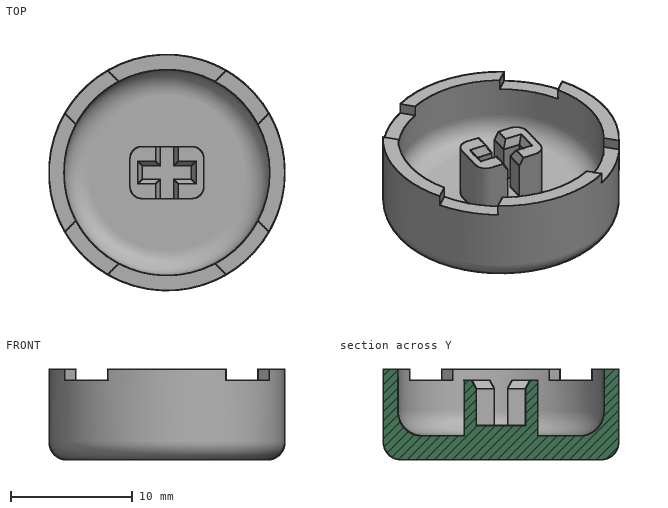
import cadquery as cq

outer_diameter = 19.5
inner_diameter = 17.0
height = 7.5
floor_z = 2.0
bottom_edge_radius = 1.5
inside_floor_radius = 2.0

notch_width = 5.0
notch_depth = 0.9
first_notch_angle = 45
notch_count = 4
notch_spacing = 360 / notch_count

post_length = 6.1
post_width = 4.3
post_corner_radius = 1.0
post_top_z = height - notch_depth
socket_slot_width = 1.11
socket_length = 4.05
socket_floor_z = 2.85
lead_in_inset = 0.38
lead_in_depth = 0.7


def make_cup():
    """Hollow round body, rounded under the base and around the inside of the floor."""
    body = cq.Workplane("XY").circle(outer_diameter / 2).extrude(height)
    body = body.faces("<Z").edges().fillet(bottom_edge_radius)
    cavity = cq.Workplane("XY").workplane(offset=floor_z)
    cavity = cavity.circle(inner_diameter / 2).extrude(height - floor_z)
    cavity = cavity.faces("<Z").edges().fillet(inside_floor_radius)
    return body.cut(cavity)


def cut_rim_notches(cup):
    """Cut parallel-sided notches through the wall from the rim downward."""
    notch_reach = outer_diameter / 2 + notch_width
    notch = cq.Workplane("XY").workplane(offset=height - notch_depth)
    notch = notch.center(notch_reach / 2, 0).rect(notch_reach, notch_width).extrude(notch_depth)
    for index in range(notch_count):
        angle = first_notch_angle + index * notch_spacing
        cup = cup.cut(notch.rotate((0, 0, 0), (0, 0, 1), angle))
    return cup


def make_post():
    """Upright post with rounded corners, rising from the cup floor."""
    post = cq.Workplane("XY").workplane(offset=floor_z)
    post = post.rect(post_length, post_width).extrude(post_top_z - floor_z)
    return post.edges("|Z").fillet(post_corner_radius)


def make_socket_slot(length_x, length_y):
    """One straight bar of the cross, flared at the top by the lead-in."""
    lead_in_z = post_top_z - lead_in_depth
    bar = cq.Workplane("XY").workplane(offset=socket_floor_z)
    bar = bar.rect(length_x, length_y).extrude(lead_in_z - socket_floor_z)
    flare = cq.Workplane("XY").workplane(offset=lead_in_z).rect(length_x, length_y)
    flare = flare.workplane(offset=lead_in_depth)
    flare = flare.rect(length_x + 2 * lead_in_inset, length_y + 2 * lead_in_inset).loft(ruled=True)
    return bar.union(flare)


def cut_cross_socket(post):
    """Cut the cross: closed at both ends along X, open through both sides along Y."""
    open_length = 2 * post_width
    post = post.cut(make_socket_slot(socket_length, socket_slot_width))
    return post.cut(make_socket_slot(socket_slot_width, open_length))


cup = cut_rim_notches(make_cup())
post = cut_cross_socket(make_post())
result = cup.union(post)